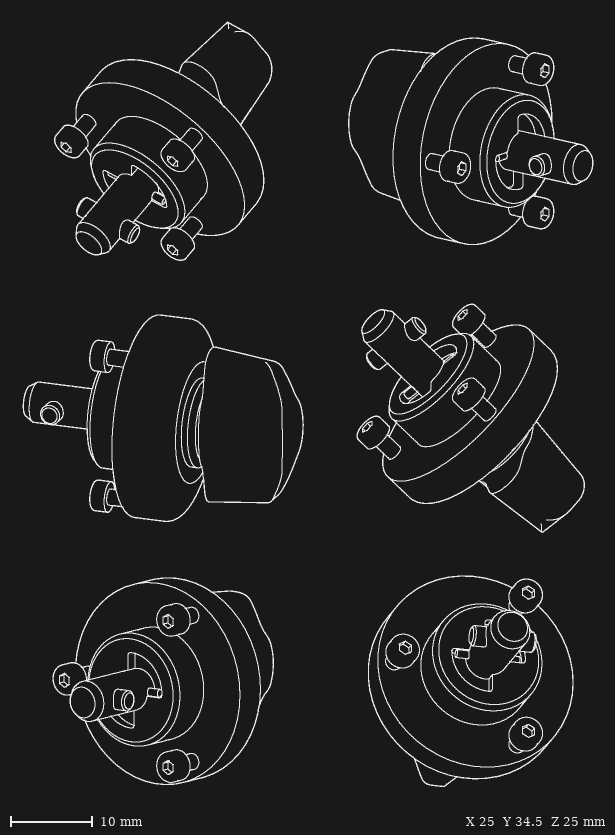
import math

import cadquery as cq


FLANGE_DIA = 25.0
FLANGE_CYLINDER = 3.9
FLANGE_HEIGHT = 6.45
FLANGE_FACE_DIA = 15.0
CONE_ANGLE = 21.0
SHOULDER_RADIUS = 1.0

BOSS_DIA = 14.0
BOSS_HEIGHT = 5.5
BOSS_CHAMFER = 0.6

COLLAR_DIA = 11.0
COLLAR_HEIGHT = 1.55
COLLAR_CHAMFER = 0.75
NECK_DIA = 7.0
NECK_HEIGHT = 0.4

SHAFT_DIA = 5.0
SHAFT_TIP_DIA = 3.8
SHAFT_LENGTH = 10.0
SHAFT_TIP_LENGTH = 1.0
PIN_DIA = 2.5
PIN_LENGTH = 8.0
PIN_CHAMFER = 0.25
PIN_FROM_TIP = 4.2

POCKET_RADIUS = 4.7
POCKET_OVERLAP = 0.47
POCKET_DEPTH = 1.5
POCKET_CORNER_RADIUS = 0.45
ROD_DIA = 0.98
ROD_LENGTH = PIN_LENGTH

SCREW_COUNT = 3
SCREW_CIRCLE_RADIUS = 10.5
SCREW_SHANK_DIA = 2.0
SCREW_SHANK_LENGTH = 3.0
SCREW_HEAD_DIA = 3.8
SCREW_HEAD_HEIGHT = 2.0
SCREW_HEAD_FILLET = 0.38
SOCKET_ACROSS_FLATS = 1.5
SOCKET_DEPTH = 1.0

TOTAL_LENGTH = 34.48
KNOB_DRAFT = 6.0
WING_HALF_LENGTH = 9.9
WING_TIP_HALF_FLAT = 0.47
FLANK_OUTER = (2.53, 7.98)
FLANK_INNER = (3.1, 5.45)
HUB_START = (3.7, 4.19)
HUB_EDGE = (4.45, 2.63)
HUB_HALF_WIDTH = 4.74
TIP_BULGE = 0.43
VALLEY_BULGE = 0.078
HUB_CORNER_BULGE = 0.1
CROWN_RADIUS = 17.0
CROWN_CORNER_RADIUS = 2.0

BOSS_FACE_Y = -BOSS_HEIGHT
SHAFT_TIP_Y = BOSS_FACE_Y - SHAFT_LENGTH
COLLAR_TOP_Y = FLANGE_HEIGHT + COLLAR_HEIGHT
KNOB_BASE_Y = COLLAR_TOP_Y + NECK_HEIGHT
KNOB_TOP_Y = SHAFT_TIP_Y + TOTAL_LENGTH
KNOB_HEIGHT = KNOB_TOP_Y - KNOB_BASE_Y


def plane_at(y):
    """Plane across the turning axis at height y, with its normal along +Y."""
    return cq.Plane(origin=(0, y, 0), xDir=(1, 0, 0), normal=(0, 1, 0))


def cylinder(y_start, length, diameter, x=0.0, z=0.0):
    """Cylinder along +Y, centred on (x, z)."""
    return cq.Workplane(plane_at(y_start)).center(x, -z).circle(diameter / 2).extrude(length)


def cross_cylinder(y, diameter, length):
    """Cylinder along X, centred on the turning axis."""
    return cq.Workplane("YZ", origin=(-length / 2, y, 0)).circle(diameter / 2).extrude(length)


def make_flange():
    radius = FLANGE_DIA / 2
    face_radius = FLANGE_FACE_DIA / 2
    angle = math.radians(CONE_ANGLE)
    arc_centre_r = radius - SHOULDER_RADIUS
    arc_end = (
        arc_centre_r + SHOULDER_RADIUS * math.sin(angle),
        FLANGE_CYLINDER + SHOULDER_RADIUS * math.cos(angle),
    )
    mid_angle = (angle + math.pi / 2) / 2
    arc_mid = (
        arc_centre_r + SHOULDER_RADIUS * math.sin(mid_angle),
        FLANGE_CYLINDER + SHOULDER_RADIUS * math.cos(mid_angle),
    )
    return (
        cq.Workplane("XY")
        .moveTo(0, 0)
        .lineTo(radius, 0)
        .lineTo(radius, FLANGE_CYLINDER)
        .threePointArc(arc_mid, arc_end)
        .lineTo(face_radius, FLANGE_HEIGHT)
        .lineTo(0, FLANGE_HEIGHT)
        .close()
        .revolve(360, (0, 0, 0), (0, 1, 0))
    )


def make_pockets():
    """Two opposite quarter-round pockets, cut up from the boss face."""
    side = POCKET_RADIUS + POCKET_OVERLAP
    middle = side / 2 - POCKET_OVERLAP
    disc = cylinder(BOSS_FACE_Y, POCKET_DEPTH, 2 * POCKET_RADIUS)
    quadrant = (
        cq.Workplane(plane_at(BOSS_FACE_Y))
        .center(middle, -middle)
        .rect(side, side)
        .extrude(POCKET_DEPTH)
    )
    pocket = disc.intersect(quadrant).edges("|Y").fillet(POCKET_CORNER_RADIUS)
    opposite = pocket.rotate((0, 0, 0), (0, 1, 0), 180)
    return pocket.union(opposite)


def make_boss():
    boss = cylinder(BOSS_FACE_Y, BOSS_HEIGHT, BOSS_DIA).faces("<Y").chamfer(BOSS_CHAMFER)
    rod = cross_cylinder(BOSS_FACE_Y + ROD_DIA / 2, ROD_DIA, ROD_LENGTH)
    return boss.cut(make_pockets()).union(rod)


def make_collar():
    collar = cylinder(FLANGE_HEIGHT, COLLAR_HEIGHT, COLLAR_DIA).faces(">Y").chamfer(COLLAR_CHAMFER)
    neck = cylinder(COLLAR_TOP_Y, NECK_HEIGHT, NECK_DIA)
    return collar.union(neck)


def make_shaft():
    """Shaft with a conical tip and a cross pin, reaching through the boss."""
    tip_reduction = (SHAFT_DIA - SHAFT_TIP_DIA) / 2
    shaft = cylinder(SHAFT_TIP_Y, -SHAFT_TIP_Y, SHAFT_DIA)
    shaft = shaft.faces("<Y").edges().chamfer(SHAFT_TIP_LENGTH, tip_reduction)
    pin = cross_cylinder(SHAFT_TIP_Y + PIN_FROM_TIP, PIN_DIA, PIN_LENGTH)
    pin = pin.faces("<X or >X").chamfer(PIN_CHAMFER)
    return shaft.union(pin)


def make_screw(angle):
    """Socket head screw under the flange, at the given angle about Y."""
    x = SCREW_CIRCLE_RADIUS * math.cos(angle)
    z = SCREW_CIRCLE_RADIUS * math.sin(angle)
    head_y = -SCREW_SHANK_LENGTH - SCREW_HEAD_HEIGHT
    shank = cylinder(-SCREW_SHANK_LENGTH, SCREW_SHANK_LENGTH, SCREW_SHANK_DIA, x, z)
    head = cylinder(head_y, SCREW_HEAD_HEIGHT, SCREW_HEAD_DIA, x, z)
    head = head.faces("<Y").edges().fillet(SCREW_HEAD_FILLET)
    across_corners = SOCKET_ACROSS_FLATS / math.cos(math.pi / 6)
    socket = (
        cq.Workplane(plane_at(head_y))
        .center(x, -z)
        .transformed(rotate=(0, 0, 90))
        .polygon(6, across_corners)
        .extrude(SOCKET_DEPTH)
    )
    return shank.union(head.cut(socket))


def knob_blank():
    """Drafted wing with a convex hub, concave valleys and rounded wing tips."""

    def opposite(point):
        return (point[0], -point[1])

    tip = (WING_TIP_HALF_FLAT, WING_HALF_LENGTH)
    half_outline = (
        cq.Workplane(plane_at(KNOB_BASE_Y))
        .moveTo(0, WING_HALF_LENGTH)
        .lineTo(*tip)
        .sagittaArc(FLANK_OUTER, TIP_BULGE)
        .lineTo(*FLANK_INNER)
        .sagittaArc(HUB_START, -VALLEY_BULGE)
        .sagittaArc(HUB_EDGE, HUB_CORNER_BULGE)
        .threePointArc((HUB_HALF_WIDTH, 0), opposite(HUB_EDGE))
        .sagittaArc(opposite(HUB_START), HUB_CORNER_BULGE)
        .sagittaArc(opposite(FLANK_INNER), -VALLEY_BULGE)
        .lineTo(*opposite(FLANK_OUTER))
        .sagittaArc(opposite(tip), TIP_BULGE)
        .lineTo(0, -WING_HALF_LENGTH)
    )
    return half_outline.mirrorY().extrude(KNOB_HEIGHT, taper=KNOB_DRAFT)


def make_knob():
    """Wing knob whose outer end is an arched crown with rounded ends."""
    draft = math.tan(math.radians(KNOB_DRAFT))
    top_half_length = WING_HALF_LENGTH - KNOB_HEIGHT * draft
    a = 1 + draft**2
    b = top_half_length * draft - CROWN_RADIUS
    c = top_half_length**2
    drop = (-b - math.sqrt(b**2 - a * c)) / a
    shoulder_z = top_half_length + drop * draft
    shoulder_y = KNOB_TOP_Y - drop
    envelope = (
        cq.Workplane("YZ", origin=(-FLANGE_DIA / 2, 0, 0))
        .moveTo(KNOB_BASE_Y, -WING_HALF_LENGTH)
        .lineTo(shoulder_y, -shoulder_z)
        .threePointArc((KNOB_TOP_Y, 0), (shoulder_y, shoulder_z))
        .lineTo(KNOB_BASE_Y, WING_HALF_LENGTH)
        .close()
        .extrude(FLANGE_DIA)
    )
    envelope = envelope.edges("|X").edges(">Y").fillet(CROWN_CORNER_RADIUS)
    return knob_blank().intersect(envelope)


result = make_flange().union(make_boss()).union(make_collar()).union(make_shaft()).union(make_knob())
for index in range(SCREW_COUNT):
    result = result.union(make_screw(math.pi + index * math.tau / SCREW_COUNT))